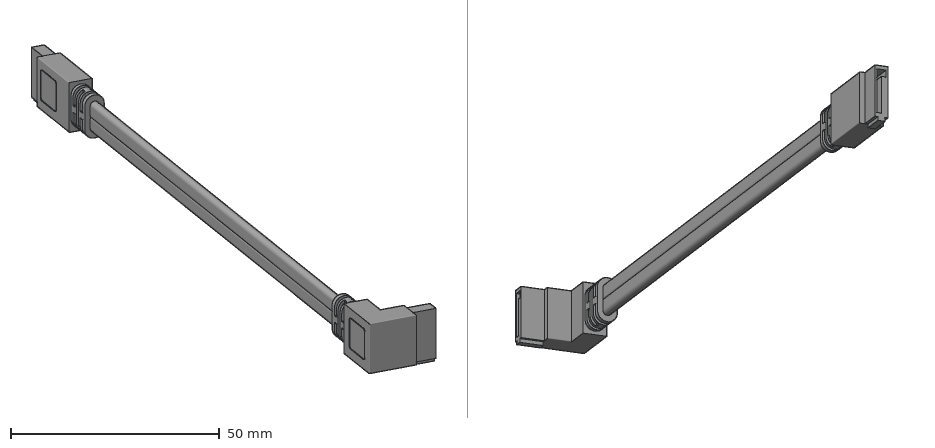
import cadquery as cq

LENGTH = 189.48
DEPTH = 18.59
HEIGHT = 13.97
X_MIN = -LENGTH / 2
X_MAX = LENGTH / 2
Y_MIN = -DEPTH / 2
Y_MAX = DEPTH / 2
Z_MIN = -HEIGHT / 2
Z_MAX = HEIGHT / 2

BLOCK_THICKNESS = 6.2
BLOCK_HEIGHT = 13.0
STRAIGHT_BLOCK_LENGTH = 17.6
ELBOW_LEG_LENGTH = 14.1
ELBOW_ARM_WIDTH = 7.0
EDGE_FILLET = 0.2
AXIS_Y = Y_MIN + BLOCK_THICKNESS / 2
AXIS_Z = Z_MAX - BLOCK_HEIGHT / 2

LABEL_WIDTH = 8.6
LABEL_HEIGHT = 8.0
LABEL_CORNER = 0.8
LABEL_DEPTH = 0.2
STRAIGHT_LABEL_OFFSET = 6.0
ELBOW_LABEL_OFFSET = 7.0

BLADE_LENGTH = 6.1
BLADE_THICKNESS = 3.4
RIB_HEIGHT = HEIGHT - BLOCK_HEIGHT
RIB_WIDTH = 1.9
SOCKET_TOP = 6.05
SOCKET_BOTTOM = -5.0
SOCKET_WIDTH = 1.2
SOCKET_WALL = 0.5
KEY_HEIGHT = 1.75

BOOT_LENGTH = 7.6
BOOT_THICKNESS = 5.2
BOOT_HEIGHT = 11.2
SLOT_COUNT = 3
SLOT_WIDTH = 1.15
SLOT_PITCH = 2.0
SLOT_START = 1.1
WEB = 1.8

CABLE_THICKNESS = 2.3
CORE_HEIGHT = 4.6
CORE_PITCH = 3.4

STRAIGHT_BOOT_X = X_MIN + BLADE_LENGTH + STRAIGHT_BLOCK_LENGTH
ELBOW_BOOT_X = X_MAX - ELBOW_LEG_LENGTH


def box(x0, x1, y0, y1, z0, z1):
    return cq.Workplane("XY").box(x1 - x0, y1 - y0, z1 - z0, centered=False).translate((x0, y0, z0))


def rounded_bar(x_start, x_end, thickness, height, z_centre):
    """Bar along X with a rounded-end (stadium) section standing along Z."""
    return (
        cq.Workplane("YZ", origin=(x_start, AXIS_Y, z_centre))
        .slot2D(height, thickness, 90)
        .extrude(x_end - x_start)
    )


def make_cable():
    lower, upper = [
        rounded_bar(STRAIGHT_BOOT_X, ELBOW_BOOT_X, CABLE_THICKNESS, CORE_HEIGHT, z_centre)
        for z_centre in (AXIS_Z - CORE_PITCH / 2, AXIS_Z + CORE_PITCH / 2)
    ]
    return lower.union(upper)


def make_boot(block_x, direction):
    """Boot running from the block face at block_x, toward +X (direction 1) or -X (direction -1)."""
    boot = rounded_bar(block_x, block_x + direction * BOOT_LENGTH, BOOT_THICKNESS, BOOT_HEIGHT, AXIS_Z)
    for index in range(SLOT_COUNT):
        slot_offset = SLOT_START + index * SLOT_PITCH + SLOT_WIDTH / 2
        centre = (block_x + direction * slot_offset, AXIS_Y, AXIS_Z)
        cuts_vertically = index % 2 == 0
        web_depth = BOOT_THICKNESS if cuts_vertically else WEB
        web_height = WEB if cuts_vertically else BOOT_HEIGHT
        ring = cq.Workplane("XY").box(SLOT_WIDTH, BOOT_THICKNESS, BOOT_HEIGHT)
        web = cq.Workplane("XY").box(SLOT_WIDTH, web_depth, web_height)
        boot = boot.cut(ring.cut(web).translate(centre))
    return boot


def label_recess(x_centre):
    return (
        cq.Workplane("XY")
        .box(LABEL_WIDTH, 2 * LABEL_DEPTH, LABEL_HEIGHT)
        .edges("|Y").fillet(LABEL_CORNER)
        .translate((x_centre, Y_MIN, AXIS_Z))
    )


def make_straight_plug(cable):
    x0 = X_MIN + BLADE_LENGTH
    block = box(x0, STRAIGHT_BOOT_X, Y_MIN, Y_MIN + BLOCK_THICKNESS, Z_MAX - BLOCK_HEIGHT, Z_MAX)
    block = block.edges("|X").fillet(EDGE_FILLET).cut(label_recess(x0 + STRAIGHT_LABEL_OFFSET))
    return block.union(make_boot(STRAIGHT_BOOT_X, 1)).cut(cable)


def make_elbow_plug(cable):
    z0 = Z_MAX - BLOCK_HEIGHT
    arm_x = X_MAX - ELBOW_ARM_WIDTH
    plain_arm = box(arm_x, X_MAX, Y_MIN, Y_MAX - BLADE_LENGTH, z0, Z_MAX)
    rounded_corner = plain_arm.faces(">X").edges("<Y").fillet(EDGE_FILLET)
    arm = plain_arm.edges("|Y").fillet(EDGE_FILLET).intersect(rounded_corner)
    leg = box(ELBOW_BOOT_X, arm_x + ELBOW_ARM_WIDTH / 2, Y_MIN, Y_MIN + BLOCK_THICKNESS, z0, Z_MAX)
    block = leg.union(arm).cut(label_recess(X_MAX - ELBOW_LABEL_OFFSET))
    return block.union(make_boot(ELBOW_BOOT_X, -1)).cut(cable)


def make_blade():
    """Blade with its tip on X = 0, running toward +X and centred on Y = 0."""
    side = BLADE_THICKNESS / 2
    rib_side = RIB_WIDTH / 2
    wall = side - SOCKET_WALL
    body_bottom = Z_MIN + RIB_HEIGHT
    blade = box(0, BLADE_LENGTH, -side, side, body_bottom, Z_MAX)
    rib = box(0, BLADE_LENGTH, -rib_side, rib_side, Z_MIN, body_bottom)
    long_leg = box(0, BLADE_LENGTH, wall - SOCKET_WIDTH, wall, SOCKET_BOTTOM, SOCKET_TOP)
    short_leg = box(0, BLADE_LENGTH, -wall, wall, SOCKET_TOP - KEY_HEIGHT, SOCKET_TOP)
    return blade.union(rib).cut(long_leg).cut(short_leg)


cable = make_cable()
straight_plug = make_straight_plug(cable)
elbow_plug = make_elbow_plug(cable)
straight_blade = make_blade().translate((X_MIN, AXIS_Y, 0))
elbow_blade = (
    make_blade()
    .rotate((0, 0, 0), (0, 0, 1), -90)
    .translate((X_MAX - ELBOW_ARM_WIDTH / 2, Y_MAX, 0))
)
result = cq.Compound.makeCompound(
    [cable.val(), straight_plug.val(), elbow_plug.val(), straight_blade.val(), elbow_blade.val()]
)